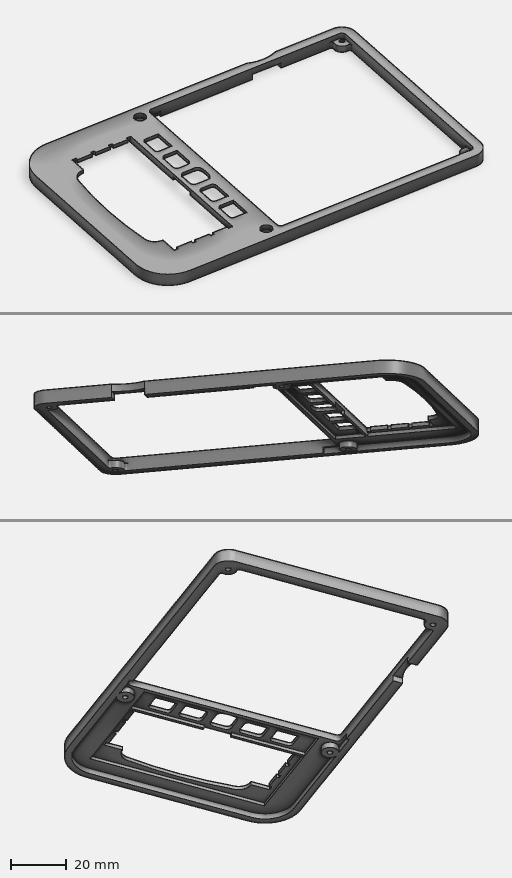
import cadquery as cq

WIDTH = 91.8
LENGTH = 143.5
THICKNESS = 5.0
TOP_CORNER_RADIUS = 5.7
BOTTOM_CORNER_RADIUS = 14.0
HALF_LENGTH = LENGTH / 2
THROUGH = 2 * THICKNESS

SCREEN_SIZE = 84.4
SCREEN_TOP_Y = 67.9
SCREEN_CORNER_RADIUS = 1.7
SCREEN_BOTTOM_Y = SCREEN_TOP_Y - SCREEN_SIZE

SCREW_X = 40.5
TAB_SCREW_Y = 66.3
LOWER_SCREW_Y = -21.0
SCREW_SEAT_Z = 2.7
SCREW_HOLE_DIAMETER = 2.0
COUNTERBORE_DIAMETER = 4.6
TAB_RADIUS = 3.2
TAB_BLEND_RADIUS = 1.0

BUTTON_TOP_Y = -21.2
BUTTON_BOTTOM_Y = -28.0
INNER_BUTTON_SPAN = (7.3, 16.5)
OUTER_BUTTON_SPAN = (19.7, 28.4)
OUTER_BUTTON_CORNER_RADIUS = 1.3
INNER_BUTTON_CORNER_RADIUS = 1.6
CENTER_BUTTON_WIDTH = 8.3
CENTER_BUTTON_SHOULDER_Y = -20.5
CENTER_BUTTON_PEAK_Y = -19.7
CENTER_BUTTON_BOTTOM_Y = -28.4
CENTER_BUTTON_CORNER_RADIUS = 1.9

KEYBOARD_WIDTH = 65.4
KEYBOARD_TOP_Y = -30.3
KEYBOARD_BOTTOM_Y = -55.5
TOOTH_DEPTH = 1.0
TOOTH_HEIGHT = 6.3
TOOTH_PITCH = 7.7
TOOTH_COUNT = 3
SCOOP_WIDTH = 50.8
SCOOP_SIDE_Y = -60.0
SCOOP_LOWEST_Y = -62.0
SCOOP_CORNER_RADIUS = 4.9
KEYBOARD_CENTER_Y = (KEYBOARD_TOP_Y + KEYBOARD_BOTTOM_Y) / 2

POCKET_TOP_Y = -10.9
POCKET_WALL = 2.6
POCKET_HEIGHT = 2.3
RECESS_SKIN = 1.5
RECESS_MARGIN = 1.7
RIB_WIDTH = 1.0
RIB_GAP = 10.9

NOTCH_CENTER_Y = 35.0
NOTCH_LENGTH = 12.3
NOTCH_DEPTH = 1.3
SLOT_HEIGHT = POCKET_HEIGHT


def box_between(x_min, x_max, y_min, y_max, height):
    """Box standing on the underside plane of the plate."""
    box = cq.Workplane("XY").box(x_max - x_min, y_max - y_min, height, centered=False)
    return box.translate((x_min, y_min, 0))


def mirrored_points(x, y):
    return [(-x, y), (x, y)]


def make_body():
    body = cq.Workplane("XY").rect(WIDTH, LENGTH).extrude(THICKNESS)
    body = body.edges("|Z").edges(">Y").fillet(TOP_CORNER_RADIUS)
    return body.edges("|Z").edges("<Y").fillet(BOTTOM_CORNER_RADIUS)


def make_screen_opening():
    """Rounded square above the screw seats; below them it leaves a tab in each upper corner."""
    half = SCREEN_SIZE / 2
    square = box_between(-half, half, SCREEN_BOTTOM_Y, SCREEN_TOP_Y, SCREW_SEAT_Z)
    upper = box_between(-half, half, SCREEN_BOTTOM_Y, SCREEN_TOP_Y, THROUGH)
    upper = upper.edges("|Z").fillet(SCREEN_CORNER_RADIUS).translate((0, 0, SCREW_SEAT_Z))

    tab = cq.Workplane("XY").center(SCREW_X, TAB_SCREW_Y).circle(TAB_RADIUS).extrude(SCREW_SEAT_Z)
    lower = square.cut(tab).cut(tab.mirror("YZ"))
    lower = lower.edges("|Z").edges("not <Y").fillet(TAB_BLEND_RADIUS)
    lower = lower.edges("|Z").edges("<Y").fillet(SCREEN_CORNER_RADIUS)
    return upper.union(lower)


def make_side_button(span, corner_radius):
    """Right-hand button window with rounded lower corners."""
    inner_x, outer_x = span
    window = box_between(inner_x, outer_x, BUTTON_BOTTOM_Y, BUTTON_TOP_Y, THROUGH)
    return window.edges("|Z").edges("<Y").fillet(corner_radius)


def make_button_windows():
    half_width = CENTER_BUTTON_WIDTH / 2
    windows = (
        cq.Workplane("XY")
        .moveTo(-half_width, CENTER_BUTTON_BOTTOM_Y)
        .lineTo(half_width, CENTER_BUTTON_BOTTOM_Y)
        .lineTo(half_width, CENTER_BUTTON_SHOULDER_Y)
        .threePointArc((0, CENTER_BUTTON_PEAK_Y), (-half_width, CENTER_BUTTON_SHOULDER_Y))
        .close()
        .extrude(THROUGH)
        .edges("|Z")
        .fillet(CENTER_BUTTON_CORNER_RADIUS)
    )
    outer = make_side_button(OUTER_BUTTON_SPAN, OUTER_BUTTON_CORNER_RADIUS)
    inner = make_side_button(INNER_BUTTON_SPAN, INNER_BUTTON_CORNER_RADIUS)
    inner = inner.edges("|Z").edges(">Y").edges("<X").fillet(INNER_BUTTON_CORNER_RADIUS)
    for window in (outer, inner):
        windows = windows.union(window).union(window.mirror("YZ"))
    return windows


def make_keyboard_opening():
    half_width = KEYBOARD_WIDTH / 2
    opening = box_between(-half_width, half_width, KEYBOARD_BOTTOM_Y, KEYBOARD_TOP_Y, THROUGH)
    for index in range(TOOTH_COUNT):
        tooth_y = KEYBOARD_CENTER_Y + (index - (TOOTH_COUNT - 1) / 2) * TOOTH_PITCH
        for side in (-1, 1):
            tooth = cq.Workplane("XY").center(side * half_width, tooth_y)
            opening = opening.cut(tooth.rect(2 * TOOTH_DEPTH, TOOTH_HEIGHT).extrude(THROUGH))

    half_scoop = SCOOP_WIDTH / 2
    scoop = (
        cq.Workplane("XY")
        .moveTo(-half_scoop, KEYBOARD_CENTER_Y)
        .lineTo(-half_scoop, SCOOP_SIDE_Y)
        .threePointArc((0, SCOOP_LOWEST_Y), (half_scoop, SCOOP_SIDE_Y))
        .lineTo(half_scoop, KEYBOARD_CENTER_Y)
        .close()
        .extrude(THROUGH)
        .edges("|Z")
        .edges("<Y")
        .fillet(SCOOP_CORNER_RADIUS)
    )
    return opening.union(scoop)


def make_underside_pocket():
    """Pocket inside the lower outline, with solid posts left around the lower screws."""
    half_width = WIDTH / 2 - POCKET_WALL
    pocket_bottom_y = POCKET_WALL - HALF_LENGTH
    pocket = box_between(-half_width, half_width, pocket_bottom_y, POCKET_TOP_Y, POCKET_HEIGHT)
    pocket = pocket.edges("|Z").edges("<Y").fillet(BOTTOM_CORNER_RADIUS - POCKET_WALL)
    posts = cq.Workplane("XY").pushPoints(mirrored_points(SCREW_X, LOWER_SCREW_Y))
    return pocket.cut(posts.circle(TAB_RADIUS).extrude(POCKET_HEIGHT))


def make_underside_recess():
    """Recess under the buttons and keyboard, split by a rib that is open below the center button."""
    height = THICKNESS - RECESS_SKIN
    half_width = KEYBOARD_WIDTH / 2 + RECESS_MARGIN
    bottom_y = SCOOP_LOWEST_Y - RECESS_MARGIN
    top_y = CENTER_BUTTON_PEAK_Y + RECESS_MARGIN
    recess = box_between(-half_width, half_width, bottom_y, top_y, height)
    rib_top_y = KEYBOARD_TOP_Y + RIB_WIDTH
    rib = box_between(RIB_GAP / 2, half_width, KEYBOARD_TOP_Y, rib_top_y, height)
    return recess.cut(rib).cut(rib.mirror("YZ"))


def make_screw_holes():
    upper_points = mirrored_points(SCREW_X, TAB_SCREW_Y)
    lower_points = mirrored_points(SCREW_X, LOWER_SCREW_Y)
    centers = cq.Workplane("XY").pushPoints(upper_points + lower_points)
    holes = centers.circle(SCREW_HOLE_DIAMETER / 2).extrude(THROUGH)
    seats = cq.Workplane("XY").workplane(offset=SCREW_SEAT_Z).pushPoints(lower_points)
    return holes.union(seats.circle(COUNTERBORE_DIAMETER / 2).extrude(THROUGH))


def make_side_notch():
    """Shallow arc over the full height, above a slot that breaks through into the screen opening."""
    bottom_y = NOTCH_CENTER_Y - NOTCH_LENGTH / 2
    top_y = NOTCH_CENTER_Y + NOTCH_LENGTH / 2
    left_x = -WIDTH / 2
    notch = (
        cq.Workplane("XY")
        .moveTo(left_x, bottom_y)
        .threePointArc((left_x + NOTCH_DEPTH, NOTCH_CENTER_Y), (left_x, top_y))
        .close()
        .extrude(THROUGH)
    )
    slot = box_between(left_x, -SCREEN_SIZE / 2, bottom_y, top_y, SLOT_HEIGHT)
    return notch.union(slot)


result = make_body()
result = result.cut(make_screen_opening())
result = result.cut(make_underside_pocket())
result = result.cut(make_underside_recess())
result = result.cut(make_button_windows())
result = result.cut(make_keyboard_opening())
result = result.cut(make_side_notch())
result = result.cut(make_screw_holes())